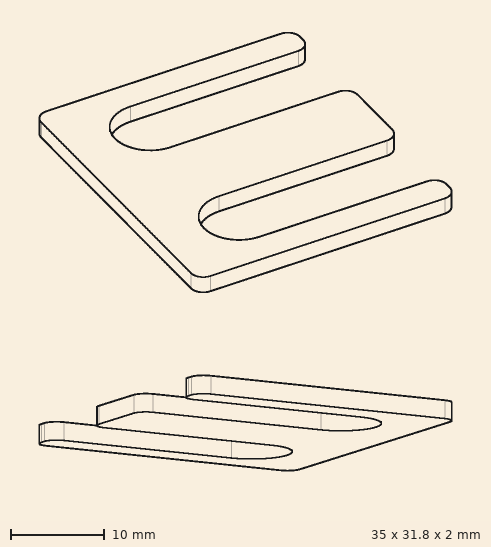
import cadquery as cq

width = 35.05
depth = 31.75
thickness = 2.0
corner_radius = 1.5

slot_width = 8.62
slot_pitch = 19.03
web_depth = 5.33

slot_radius = slot_width / 2
slot_center_y = -depth / 2 + web_depth + slot_radius
slot_top_y = depth / 2


def open_slot(center_x):
    """Cutter for one slot: a half-round end and straight sides up to the +Y edge."""
    left = center_x - slot_radius
    right = center_x + slot_radius
    return (
        cq.Workplane("XY")
        .moveTo(left, slot_top_y)
        .lineTo(left, slot_center_y)
        .threePointArc((center_x, slot_center_y - slot_radius), (right, slot_center_y))
        .lineTo(right, slot_top_y)
        .close()
        .extrude(thickness)
    )


plate = cq.Workplane("XY").box(width, depth, thickness, centered=(True, True, False))
for side in (-1, 1):
    plate = plate.cut(open_slot(side * slot_pitch / 2))

rear_corners = plate.faces(">Y").edges("|Z")
front_corners = plate.faces("<Y").edges("|Z")
result = plate.newObject(rear_corners.vals() + front_corners.vals()).fillet(corner_radius)